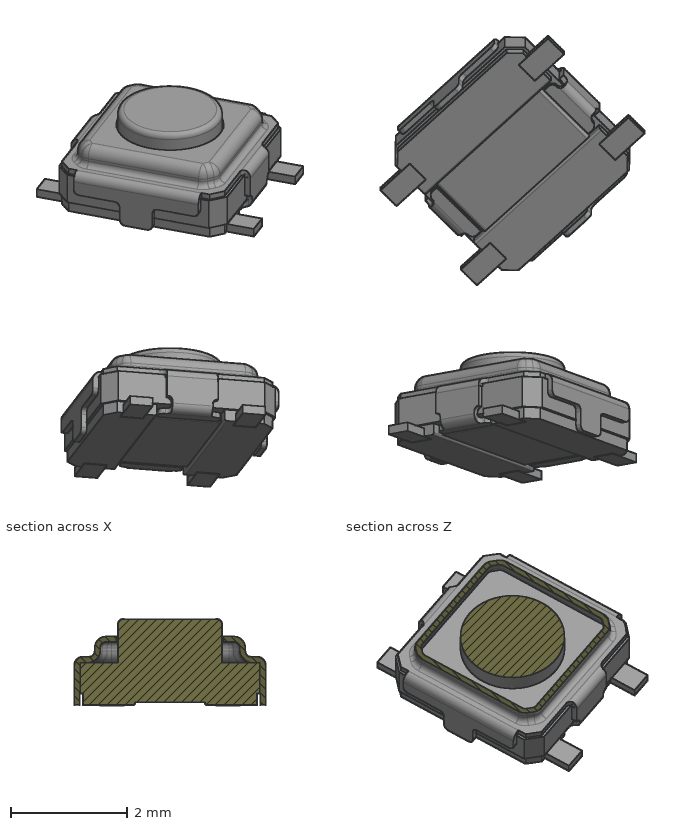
import cadquery as cq
import math

total_length = 4.0
total_width = 3.3
total_height = 1.5
sheet = 0.1
step_z = 0.21
cover_top_z = 0.85
base_top_z = cover_top_z - sheet

base_half = total_width / 2 - sheet
foot_half = 1.5
base_chamfer = 0.25
foot_chamfer = 0.2
base_bottom_z = 0.01
channel_half_width = 0.6
channel_edge_radius = 0.04
pocket_length = 0.25
pocket_lip_radius = 0.05

terminal_width = 0.4
terminal_thickness = 0.15
terminal_offset_y = 1.0
terminal_inner_x = 1.3

button_diameter = 1.8
button_round = 0.1
cover_hole_diameter = 1.85

rim_half = foot_half
rim_chamfer = 0.2
tab_outer = total_width / 2
tab_inner = base_half
bend_outer = tab_outer - rim_half
bend_start_z = cover_top_z - bend_outer
sheet_round = 0.1

core_half = 1.1
core_chamfer = 0.085
core_top_z = 1.0
dome_outer_radius = 0.2
dome_inner_radius = dome_outer_radius - sheet
dome_foot_reach = 0.3

front_tab_half = 2.3 / 2
front_stem_half = 0.3
front_shoulder_z = 0.45

clip_half = 0.9 / 2
clip_relief_round = 0.09
clip_stem_half = clip_half - clip_relief_round
clip_tongue_half = clip_half + sheet_round
clip_notch_z = 0.335
tongue_bottom_z = step_z - bend_outer
tongue_front_x = 1.485
tongue_end_x = 1.28

pick_margin = 0.04


def chamfered_block(half, chamfer, bottom, top):
    """Square block centred on Z with its four upright edges chamfered."""
    block = cq.Workplane("XY").workplane(offset=bottom).rect(2 * half, 2 * half).extrude(top - bottom)
    return block.edges("|Z").chamfer(chamfer)


def quarter_arc(sketch, centre, start, end):
    """Add a quarter circle about centre, from start to end."""
    diagonal = math.sqrt(0.5)
    middle = [c + diagonal * (s + e - 2 * c) for s, e, c in zip(start, end, centre)]
    return sketch.threePointArc(tuple(middle), end)


def dome(radius, floor_z):
    """Raised dome with all faces at the given distance from the core, and a flared foot."""
    foot_z = floor_z + dome_foot_reach - radius
    wall_x = core_half + radius
    foot_x = core_half + dome_foot_reach
    profile = cq.Workplane("XZ").moveTo(core_half, floor_z).lineTo(foot_x, floor_z)
    profile = quarter_arc(profile, (foot_x, foot_z), (foot_x, floor_z), (wall_x, foot_z))
    profile = profile.lineTo(wall_x, core_top_z)
    profile = quarter_arc(profile, (core_half, core_top_z), (wall_x, core_top_z),
                          (core_half, core_top_z + radius)).close()
    core = chamfered_block(core_half, core_chamfer, floor_z, core_top_z + radius)
    side = core_half
    corner = core_half - core_chamfer
    path = cq.Workplane("XY").workplane(offset=floor_z).polyline(
        [(side, 0), (side, corner), (corner, side), (-corner, side), (-side, corner),
         (-side, -corner), (-corner, -side), (corner, -side), (side, -corner)]).close()
    return core.union(profile.sweep(path, transition="round"))


def front_tab():
    """Tab bent down over the front face (-Y), narrowing to a stem."""
    side = cq.Workplane("YZ").moveTo(-rim_half, cover_top_z)
    side = quarter_arc(side, (-rim_half, bend_start_z),
                       (-rim_half, cover_top_z), (-tab_outer, bend_start_z))
    side = side.lineTo(-tab_outer, base_bottom_z).lineTo(-tab_inner, base_bottom_z)
    side = side.lineTo(-tab_inner, base_top_z).lineTo(-rim_half, base_top_z).close()
    blank = side.extrude(front_tab_half, both=True)

    stem_height = front_shoulder_z - base_bottom_z
    notch_width = front_tab_half - front_stem_half
    for sign in (1, -1):
        notch = cq.Workplane("XY").box(notch_width, 2 * sheet, stem_height).translate(
            (sign * (front_stem_half + notch_width / 2), -tab_outer, base_bottom_z + stem_height / 2))
        blank = blank.cut(notch)
    tip_and_shoulder = blank.edges("|Y").edges(cq.selectors.BoxSelector(
        (-tab_outer, -2 * tab_outer, 0), (tab_outer, 0, front_shoulder_z + pick_margin)))
    return tip_and_shoulder.fillet(sheet_round)


def clip_strip():
    """Bent strip of constant width that every part of the side clip is cut from."""
    tongue_top_z = tongue_bottom_z + sheet
    strip = cq.Workplane("XZ").moveTo(-rim_half, cover_top_z)
    strip = quarter_arc(strip, (-rim_half, bend_start_z),
                        (-rim_half, cover_top_z), (-tab_outer, bend_start_z))
    strip = strip.lineTo(-tab_outer, step_z)
    strip = quarter_arc(strip, (-rim_half, step_z), (-tab_outer, step_z), (-rim_half, tongue_bottom_z))
    strip = strip.lineTo(-tongue_end_x, tongue_bottom_z).lineTo(-tongue_end_x, tongue_top_z)
    strip = strip.lineTo(-rim_half, tongue_top_z)
    strip = quarter_arc(strip, (-rim_half, step_z), (-rim_half, tongue_top_z), (-tab_inner, step_z))
    strip = strip.lineTo(-tab_inner, base_top_z).lineTo(-rim_half, base_top_z).close()
    return strip.extrude(clip_tongue_half, both=True)


def clip_root_outline():
    """Plan of the upper bend: flared where it leaves the rim."""
    flare_x = rim_half + sheet_round
    root = cq.Workplane("XY").workplane(offset=bend_start_z).moveTo(-rim_half, -clip_tongue_half)
    root = quarter_arc(root, (-flare_x, -clip_tongue_half),
                       (-rim_half, -clip_tongue_half), (-flare_x, -clip_half))
    root = root.lineTo(-tab_outer, -clip_half).lineTo(-tab_outer, clip_half).lineTo(-flare_x, clip_half)
    root = quarter_arc(root, (-flare_x, clip_tongue_half),
                       (-flare_x, clip_half), (-rim_half, clip_tongue_half))
    return root.close().extrude(bend_outer)


def clip_leg_outline():
    """Elevation of the upright leg: narrowed by round notches near its lower end."""
    notch_end_z = clip_notch_z - clip_relief_round
    leg = cq.Workplane("YZ").moveTo(-clip_half, bend_start_z).lineTo(-clip_half, clip_notch_z)
    leg = quarter_arc(leg, (-clip_half, notch_end_z),
                      (-clip_half, clip_notch_z), (-clip_stem_half, notch_end_z))
    leg = leg.lineTo(-clip_stem_half, step_z).lineTo(clip_stem_half, step_z)
    leg = leg.lineTo(clip_stem_half, notch_end_z)
    leg = quarter_arc(leg, (clip_half, notch_end_z),
                      (clip_stem_half, notch_end_z), (clip_half, clip_notch_z))
    return leg.lineTo(clip_half, bend_start_z).close().extrude(-tab_outer)


def clip_tongue_outline():
    """Plan of the lower bend and the tongue under the base, with rounded shoulders."""
    neck_x = tongue_front_x + clip_relief_round
    shoulder_x = tongue_front_x - sheet_round
    tongue = cq.Workplane("XY").moveTo(-tab_outer, -clip_stem_half).lineTo(-neck_x, -clip_stem_half)
    tongue = quarter_arc(tongue, (-neck_x, -clip_half),
                         (-neck_x, -clip_stem_half), (-tongue_front_x, -clip_half))
    tongue = quarter_arc(tongue, (-shoulder_x, -clip_half), (-tongue_front_x, -clip_half),
                         (-shoulder_x, -clip_tongue_half))
    tongue = tongue.lineTo(-tongue_end_x, -clip_tongue_half).lineTo(-tongue_end_x, clip_tongue_half)
    tongue = tongue.lineTo(-shoulder_x, clip_tongue_half)
    tongue = quarter_arc(tongue, (-shoulder_x, clip_half), (-shoulder_x, clip_tongue_half),
                         (-tongue_front_x, clip_half))
    tongue = quarter_arc(tongue, (-neck_x, clip_half),
                         (-tongue_front_x, clip_half), (-neck_x, clip_stem_half))
    return tongue.lineTo(-tab_outer, clip_stem_half).close().extrude(step_z)


def side_clip():
    """Clip over the left face (-X) that hooks under the base."""
    strip = clip_strip()
    root = strip.intersect(clip_root_outline())
    leg = strip.intersect(clip_leg_outline())
    tongue = strip.intersect(clip_tongue_outline())
    return root.union(leg).union(tongue)


def make_cover():
    """Folded sheet cover: rim, hollow dome with a button hole, two tabs and two clips."""
    cover = chamfered_block(rim_half, rim_chamfer, base_top_z, cover_top_z)
    cover = cover.union(dome(dome_outer_radius, cover_top_z))
    cover = cover.cut(dome(dome_inner_radius, base_top_z))
    hole = cq.Workplane("XY").circle(cover_hole_diameter / 2).extrude(total_height)
    cover = cover.cut(hole)
    for angle in (0, 180):
        for fold in (front_tab(), side_clip()):
            cover = cover.union(fold.rotate((0, 0, 0), (0, 0, 1), angle))
    return cover


def base_block():
    """Stepped block with a channel along X and a clip pocket at each end of it."""
    block = chamfered_block(base_half, base_chamfer, step_z, base_top_z)
    block = block.union(chamfered_block(foot_half, foot_chamfer, base_bottom_z, step_z))

    channel_depth = tongue_bottom_z - base_bottom_z
    channel = cq.Workplane("XY").workplane(offset=base_bottom_z).rect(
        2 * foot_half, 2 * channel_half_width).extrude(channel_depth)
    block = block.cut(channel)
    mouth_edges = block.edges("|X").edges(cq.selectors.BoxSelector(
        (-pick_margin, -channel_half_width - pick_margin, 0),
        (pick_margin, channel_half_width + pick_margin, base_bottom_z + channel_depth / 2)))
    block = mouth_edges.fillet(channel_edge_radius)

    pocket_end_x = foot_half - pocket_length
    pocket_height = step_z - tongue_bottom_z
    for sign in (1, -1):
        pocket = cq.Workplane("XY").box(pocket_length, 2 * channel_half_width, pocket_height).translate(
            (sign * (pocket_end_x + pocket_length / 2), 0, tongue_bottom_z + pocket_height / 2))
        block = block.cut(pocket)
    lips = block.edges("|Y").edges(cq.selectors.BoxSelector(
        (-pocket_end_x - pick_margin, -pick_margin, tongue_bottom_z - pick_margin),
        (pocket_end_x + pick_margin, pick_margin, tongue_bottom_z + pick_margin)))
    return lips.fillet(pocket_lip_radius)


def make_base():
    """Base block with its button on top and four terminals."""
    base = base_block()
    button = cq.Workplane("XY").workplane(offset=base_top_z).circle(button_diameter / 2).extrude(
        total_height - base_top_z)
    base = base.union(button.faces(">Z").edges().fillet(button_round))
    terminal_length = total_length / 2 - terminal_inner_x
    for side_x in (1, -1):
        for side_y in (1, -1):
            terminal = cq.Workplane("XY").box(terminal_length, terminal_width, terminal_thickness).translate(
                (side_x * (terminal_inner_x + terminal_length / 2), side_y * terminal_offset_y,
                 terminal_thickness / 2))
            base = base.union(terminal)
    return base


cover = make_cover()
base = make_base()

result = cq.Compound.makeCompound([base.solids().val(), cover.solids().val()])